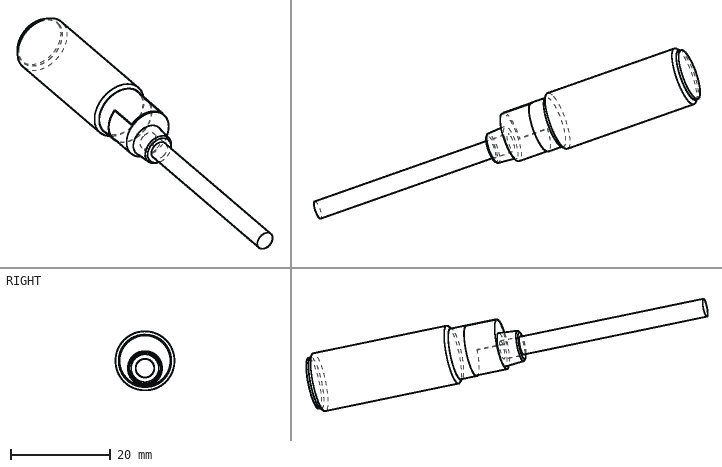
import cadquery as cq

total_length = 82.6
barrel_diameter = 12.0
collar_diameter = 10.5

barrel_front = 0.5
barrel_rear = 30.0
relief_front = 33.3
collar_rear = 39.7
boot_rear = 43.95

barrel_chamfer = 0.7

relief_depth = 0.12
relief_top = 3.6
strip_chamfer_length = 0.25
boot_base_diameter = 6.9
boot_tip_diameter = 6.3
boot_chamfer = 0.3

cable_drop = 1.5
cable_diameter = 3.7
cable_hole_diameter = 3.8


def cylinder_along_x(start, end, diameter, height=0.0):
    """Solid cylinder from start to end along X, with its axis at the given Z."""
    return (
        cq.Workplane("YZ", origin=(start, 0, height))
        .circle(diameter / 2)
        .extrude(end - start)
    )


def make_face_cap():
    """Flat sensing face standing proud of the barrel."""
    return cylinder_along_x(0, barrel_front, collar_diameter)


def make_barrel():
    """Plain barrel chamfered at both ends."""
    barrel = cylinder_along_x(barrel_front, barrel_rear, barrel_diameter)
    return barrel.faces("<X or >X").chamfer(barrel_chamfer)


def make_strip():
    """Raised strip along the top of the collar, sloping down at its rear end."""
    outer_radius = collar_diameter / 2
    core_radius = outer_radius - relief_depth
    raised_ring = (
        cq.Workplane("XY")
        .moveTo(relief_front, 0)
        .lineTo(relief_front, outer_radius)
        .lineTo(collar_rear - strip_chamfer_length, outer_radius)
        .lineTo(collar_rear, core_radius)
        .lineTo(collar_rear, 0)
        .close()
        .revolve(360, (0, 0, 0), (1, 0, 0))
    )
    above_relief = cq.Workplane("XY", origin=(0, 0, relief_top)).box(
        total_length, collar_diameter, collar_diameter, centered=(False, True, False)
    )
    return raised_ring.intersect(above_relief)


def make_boot():
    """Tapered cable boot with a chamfered tip."""
    boot = (
        cq.Workplane("YZ", origin=(collar_rear, 0, -cable_drop))
        .circle(boot_base_diameter / 2)
        .workplane(offset=boot_rear - collar_rear)
        .circle(boot_tip_diameter / 2)
        .loft()
    )
    return boot.faces(">X").chamfer(boot_chamfer)


def make_end_piece():
    """Collar, strip and boot in one piece, with the cable hole through the boot."""
    collar = cylinder_along_x(barrel_rear, relief_front, collar_diameter)
    core = cylinder_along_x(relief_front, collar_rear, collar_diameter - 2 * relief_depth)
    cable_hole = cylinder_along_x(collar_rear, boot_rear, cable_hole_diameter, -cable_drop)
    return collar.union(core).union(make_strip()).union(make_boot()).cut(cable_hole)


def make_cable():
    """Cable seated against the bottom of the hole in the boot."""
    return cylinder_along_x(collar_rear, total_length, cable_diameter, -cable_drop)


face_cap = make_face_cap()
barrel = make_barrel()
end_piece = make_end_piece()
cable = make_cable()

result = cq.Compound.makeCompound(
    [face_cap.val(), barrel.val(), end_piece.val(), cable.val()]
)